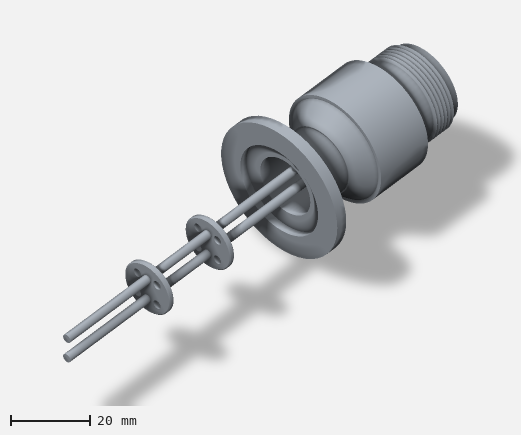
import cadquery as cq

TOTAL_LENGTH = 132.2
BODY_LENGTH = 53.7
ROD_REACH = TOTAL_LENGTH - BODY_LENGTH

FLANGE_RADIUS = 20.0
RIM_THICKNESS = 3.3
FLANGE_THICKNESS = 5.3
TAPER_TOP_RADIUS = 13.0
RECESS_RADIUS = 13.4
RECESS_DEPTH = 2.2

NECK_RADIUS = 9.5
NECK_END = 15.2
CONE_START_RADIUS = 9.9
CONE_END_RADIUS = 14.8
BARREL_START = 20.6
BARREL_RADIUS = 15.9
BARREL_END = 38.0

COLLAR_RADIUS = 11.9
COLLAR_END = 44.2
THREAD_CREST_RADIUS = 12.7
THREAD_ROOT_RADIUS = 11.9
THREAD_RIDGES = 6
THREAD_END = 51.5
THREAD_PITCH = (THREAD_END - COLLAR_END) / THREAD_RIDGES
TIP_RADIUS = 11.5

BORE_RADIUS = 8.6
BORE_DEPTH = NECK_END

ROD_RADIUS = 1.25
ROD_EMBEDMENT = 1.3
DISC_RADIUS = 7.8
DISC_THICKNESS = 1.6
DISC_CENTERS = (-25.6, -48.0)
DISC_CHAMFER = 0.3
HOLE_SPAN = 6.7
ROW_HEIGHTS = (-HOLE_SPAN / 2, HOLE_SPAN / 2)


def cylinder(radius, start, end, x=0, z=0):
    """Cylinder along Y from start to end."""
    axis_start = cq.Vector(x, start, z)
    return cq.Workplane(cq.Solid.makeCylinder(radius, end - start, axis_start, cq.Vector(0, 1, 0)))


def turned_body():
    """Flange, neck, cone, barrel and threaded end as one revolved profile."""
    profile = [
        (0, 0),
        (FLANGE_RADIUS, 0),
        (FLANGE_RADIUS, RIM_THICKNESS),
        (TAPER_TOP_RADIUS, FLANGE_THICKNESS),
        (NECK_RADIUS, FLANGE_THICKNESS),
        (NECK_RADIUS, NECK_END),
        (CONE_START_RADIUS, NECK_END),
        (CONE_END_RADIUS, BARREL_START),
        (BARREL_RADIUS, BARREL_START),
        (BARREL_RADIUS, BARREL_END),
        (COLLAR_RADIUS, BARREL_END),
        (COLLAR_RADIUS, COLLAR_END),
    ]
    for ridge in range(THREAD_RIDGES):
        ridge_start = COLLAR_END + ridge * THREAD_PITCH
        profile.append((THREAD_CREST_RADIUS, ridge_start + THREAD_PITCH / 2))
        profile.append((THREAD_ROOT_RADIUS, ridge_start + THREAD_PITCH))
    profile += [
        (TIP_RADIUS, THREAD_END),
        (TIP_RADIUS, BODY_LENGTH),
        (0, BODY_LENGTH),
    ]
    return cq.Workplane("XY").polyline(profile).close().revolve(360, (0, 0), (0, 1))


def spacer_disc(center):
    """Disc with two rows of three holes, chamfered along both outer rims."""
    start = center - DISC_THICKNESS / 2
    end = center + DISC_THICKNESS / 2
    disc = cylinder(DISC_RADIUS, start, end)
    disc = disc.faces("<Y or >Y").edges().chamfer(DISC_CHAMFER)
    for x in (-HOLE_SPAN / 2, 0, HOLE_SPAN / 2):
        for z in ROW_HEIGHTS:
            disc = disc.cut(cylinder(ROD_RADIUS, start, end, x, z))
    return disc


result = turned_body()
result = result.cut(cylinder(RECESS_RADIUS, 0, RECESS_DEPTH))
result = result.cut(cylinder(BORE_RADIUS, 0, BORE_DEPTH))

discs = [spacer_disc(center) for center in DISC_CENTERS]
for z in ROW_HEIGHTS:
    result = result.union(cylinder(ROD_RADIUS, -ROD_REACH, BORE_DEPTH + ROD_EMBEDMENT, 0, z))
for disc in discs:
    result = result.union(disc)